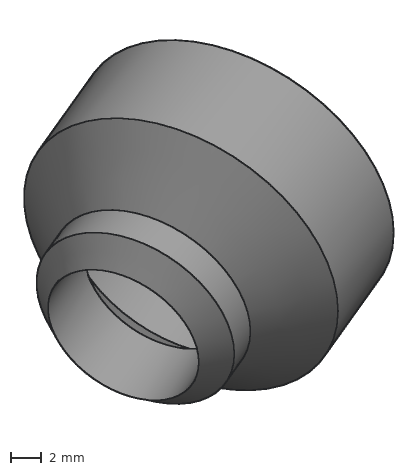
import cadquery as cq

body_diameter = 22.8
neck_diameter = 14.36
bore_diameter = 10.95
total_length = 16.2
neck_length = 2.3
bore_length = 5.27
socket_diameter = 16.96

body_radius = body_diameter / 2
neck_radius = neck_diameter / 2
bore_radius = bore_diameter / 2
socket_radius = socket_diameter / 2

neck_start = neck_radius - bore_radius
neck_end = neck_start + neck_length
body_start = neck_end + body_radius - neck_radius
socket_start = bore_length + socket_radius - bore_radius

section = (
    cq.Workplane("XY")
    .moveTo(bore_radius, 0)
    .lineTo(neck_radius, neck_start)
    .lineTo(neck_radius, neck_end)
    .lineTo(body_radius, body_start)
    .lineTo(body_radius, total_length)
    .lineTo(socket_radius, total_length)
    .lineTo(socket_radius, socket_start)
    .lineTo(bore_radius, bore_length)
    .close()
)

result = section.revolve(360, (0, 0, 0), (0, 1, 0))